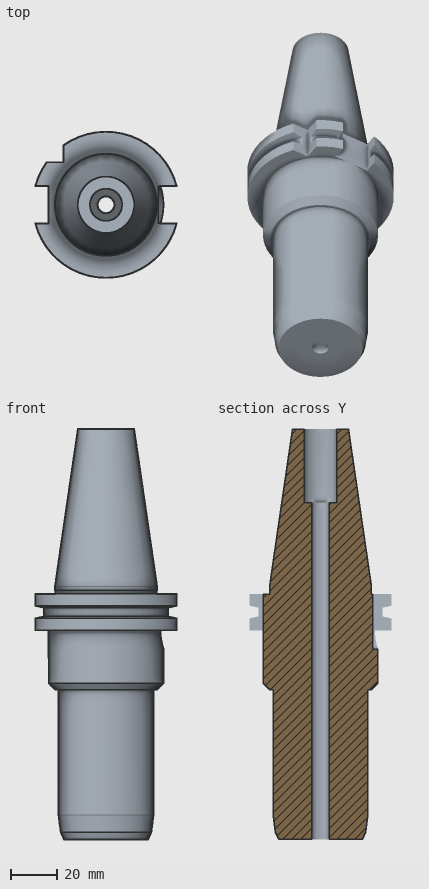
import cadquery as cq


gauge_diameter = 44.45
taper_rate = 7 / 24
taper_length = 68.4
gauge_land = 1.6
relief_diameter = 44.2

flange_diameter = 63.55
flange_top = -3.2
flange_bottom = -19.1
flange_rim_height = 5.2
groove_diameter = 56.25
groove_floor_height = 3.8

collar_diameter = 50.0
collar_bottom = -45.0
collar_chamfer = 3.0
barrel_diameter = 41.4
total_length = 178.4
nose_height = 10.8
nose_end_diameter = 39.4
tip_chamfer_height = 3.2
tip_diameter = 36.4

through_bore_diameter = 7.2
shank_bore_diameter = 14.0
shank_bore_depth = 32.0

drive_slot_width = 16.1
deep_slot_floor = 22.8
shallow_slot_floor = 25.0
notch_offset = 18.5

shank_top = taper_length
nose_end = taper_length - total_length


def make_body():
    """Revolve the whole outer profile about Z."""
    gauge_radius = gauge_diameter / 2
    shank_end_radius = gauge_radius - taper_length * taper_rate / 2
    flange_radius = flange_diameter / 2
    groove_radius = groove_diameter / 2
    collar_radius = collar_diameter / 2
    barrel_radius = barrel_diameter / 2

    groove_center = (flange_top + flange_bottom) / 2
    groove_floor_top = groove_center + groove_floor_height / 2
    groove_floor_bottom = groove_center - groove_floor_height / 2

    profile = [
        (0, nose_end),
        (tip_diameter / 2, nose_end),
        (nose_end_diameter / 2, nose_end + tip_chamfer_height),
        (barrel_radius, nose_end + nose_height),
        (barrel_radius, collar_bottom),
        (collar_radius - collar_chamfer, collar_bottom),
        (collar_radius, collar_bottom + collar_chamfer),
        (collar_radius, flange_bottom),
        (flange_radius, flange_bottom),
        (flange_radius, flange_bottom + flange_rim_height),
        (groove_radius, groove_floor_bottom),
        (groove_radius, groove_floor_top),
        (flange_radius, flange_top - flange_rim_height),
        (flange_radius, flange_top),
        (relief_diameter / 2, flange_top),
        (relief_diameter / 2, -gauge_land),
        (gauge_radius, -gauge_land),
        (gauge_radius, 0),
        (shank_end_radius, shank_top),
        (0, shank_top),
    ]
    return cq.Workplane("XZ").polyline(profile).close().revolve(360, (0, 0, 0), (0, 1, 0))


def make_drive_slot(side, floor_distance):
    """Slot across the flange on the +X (side = 1) or -X (side = -1) side, with a round lower end."""
    half_width = drive_slot_width / 2
    outline = (
        cq.Workplane("YZ", origin=(side * floor_distance, 0, 0))
        .moveTo(-half_width, flange_top)
        .lineTo(-half_width, flange_bottom)
        .threePointArc((0, flange_bottom - half_width), (half_width, flange_bottom))
        .lineTo(half_width, flange_top)
        .close()
    )
    return outline.extrude(side * flange_diameter / 2)


def make_notch():
    """Square corner notch through the full flange height on the -X, +Y side."""
    size = flange_diameter / 2
    height = flange_top - flange_bottom
    block = cq.Workplane("XY").box(size, size, height, centered=False)
    return block.translate((-notch_offset - size, notch_offset, flange_bottom))


def make_bores():
    """Through bore with a wider bore entering from the shank end."""
    through_bore = (
        cq.Workplane("XY", origin=(0, 0, nose_end))
        .circle(through_bore_diameter / 2)
        .extrude(total_length)
    )
    shank_bore = (
        cq.Workplane("XY", origin=(0, 0, shank_top))
        .circle(shank_bore_diameter / 2)
        .extrude(-shank_bore_depth)
    )
    return through_bore.union(shank_bore)


result = (
    make_body()
    .cut(make_drive_slot(1, deep_slot_floor))
    .cut(make_drive_slot(-1, shallow_slot_floor))
    .cut(make_notch())
    .cut(make_bores())
)